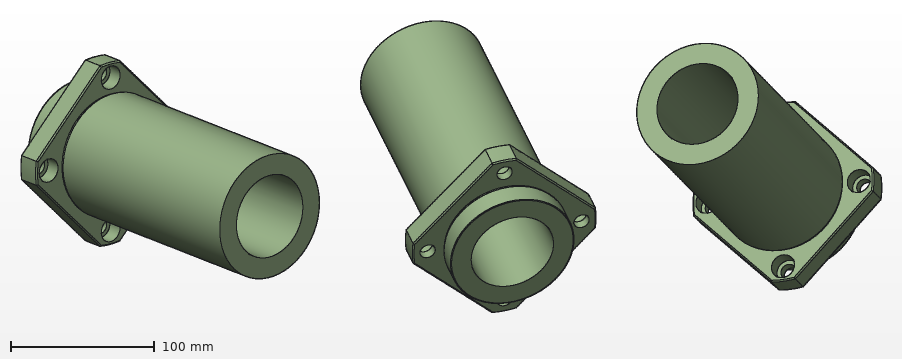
import cadquery as cq
import math


LENGTH = 209.0
BODY_DIAMETER = 90.0
BORE_DIAMETER = 60.0
NOSE_BEVEL_LENGTH = 0.31
NOSE_BEVEL_HEIGHT = 0.73

FLANGE_START = 18.0
FLANGE_THICKNESS = 18.0
FLANGE_CORNER_DIAMETER = 134.0
FLANGE_SIDE = 106.4
FLANGE_CHAMFER = 1.0
FLANGE_END = FLANGE_START + FLANGE_THICKNESS

GROOVE_WIDTH = 2.5
GROOVE_DEPTH = 1.0

HOLE_COUNT = 4
HOLE_DIAMETER = 11.0
HOLE_CIRCLE_DIAMETER = 112.0
COUNTERBORE_DIAMETER = 17.0
COUNTERBORE_DEPTH = 11.0


def cylinder(diameter, start, length, y=0.0, z=0.0):
    """Solid cylinder along +X from x = start, with its axis at (y, z)."""
    return cq.Workplane("YZ", origin=(start, y, z)).circle(diameter / 2).extrude(length)


def make_sleeve():
    """Solid sleeve with a shallow bevel round the nose end and a relief groove at each flange face."""
    body_radius = BODY_DIAMETER / 2
    profile = [
        (0, 0),
        (0, body_radius - NOSE_BEVEL_HEIGHT),
        (NOSE_BEVEL_LENGTH, body_radius),
        (LENGTH, body_radius),
        (LENGTH, 0),
    ]
    sleeve = cq.Workplane("XY").polyline(profile).close().revolve(360, (0, 0, 0), (1, 0, 0))
    nose_groove = make_groove(FLANGE_START, -1)
    tail_groove = make_groove(FLANGE_END, 1)
    return sleeve.cut(nose_groove).cut(tail_groove)


def make_groove(face_x, direction):
    """Ring to remove: its arc floor is level at the flange face and rises to the sleeve surface."""
    body_radius = BODY_DIAMETER / 2
    clearance_radius = body_radius + GROOVE_DEPTH
    far_x = face_x + direction * GROOVE_WIDTH
    floor_radius = body_radius - GROOVE_DEPTH
    arc_radius = (GROOVE_WIDTH**2 + GROOVE_DEPTH**2) / (2 * GROOVE_DEPTH)
    half_angle = math.asin(GROOVE_WIDTH / arc_radius) / 2
    mid_x = face_x + direction * arc_radius * math.sin(half_angle)
    mid_radius = floor_radius + arc_radius * (1 - math.cos(half_angle))
    return (
        cq.Workplane("XY")
        .moveTo(face_x, clearance_radius)
        .lineTo(face_x, floor_radius)
        .threePointArc((mid_x, mid_radius), (far_x, body_radius))
        .lineTo(far_x, clearance_radius)
        .close()
        .revolve(360, (0, 0, 0), (1, 0, 0))
    )


def make_flange():
    """Square plate on its corner, trimmed to a circle, with both faces chamfered."""
    plate = (
        cq.Workplane("YZ", origin=(FLANGE_START, 0, 0))
        .rect(FLANGE_SIDE, FLANGE_SIDE)
        .extrude(FLANGE_THICKNESS)
        .rotate((0, 0, 0), (1, 0, 0), 45)
    )
    corner_trim = cylinder(FLANGE_CORNER_DIAMETER, FLANGE_START, FLANGE_THICKNESS)
    return plate.intersect(corner_trim).faces("<X or >X").edges().chamfer(FLANGE_CHAMFER)


def cut_mounting_holes(part):
    """Through holes on the Y and Z axes, counterbored from the sleeve side."""
    for index in range(HOLE_COUNT):
        angle = 2 * math.pi * index / HOLE_COUNT
        y = HOLE_CIRCLE_DIAMETER / 2 * math.cos(angle)
        z = HOLE_CIRCLE_DIAMETER / 2 * math.sin(angle)
        part = part.cut(cylinder(HOLE_DIAMETER, FLANGE_START, FLANGE_THICKNESS, y, z))
        counterbore_start = FLANGE_END - COUNTERBORE_DEPTH
        part = part.cut(cylinder(COUNTERBORE_DIAMETER, counterbore_start, COUNTERBORE_DEPTH, y, z))
    return part


flange = cut_mounting_holes(make_flange())
bore = cylinder(BORE_DIAMETER, 0, LENGTH)
result = make_sleeve().union(flange).cut(bore)